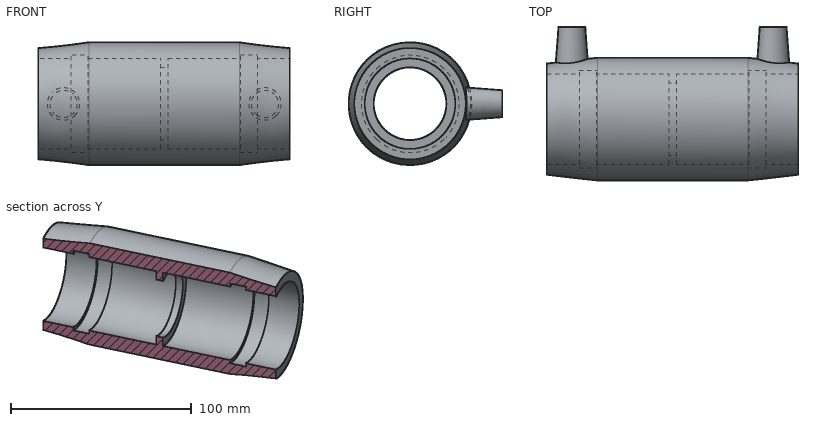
import cadquery as cq

length = 139.0
body_diameter = 68.0
end_diameter = 61.6
shoulder_length = 27.8
socket_diameter = 50.0
stop_diameter = 40.0
stop_width = 4.2

groove_diameter = 54.0
groove_start = 18.1
groove_end = 27.4

post_spacing = 111.2
post_tip_diameter = 15.0
post_base_diameter = 18.2
post_tip_y = 51.0
post_base_y = 29.9

half_length = length / 2
body_half_length = half_length - shoulder_length


def make_sleeve():
    """Outer barrel with tapered ends."""
    return (
        cq.Workplane("XY")
        .moveTo(-half_length, 0)
        .lineTo(-half_length, end_diameter / 2)
        .lineTo(-body_half_length, body_diameter / 2)
        .lineTo(body_half_length, body_diameter / 2)
        .lineTo(half_length, end_diameter / 2)
        .lineTo(half_length, 0)
        .close()
        .revolve(360, (0, 0, 0), (1, 0, 0))
    )


def make_bore():
    """Pipe socket at each end, separated by a narrow central stop."""
    socket_depth = half_length - stop_width / 2
    bore = cq.Workplane("YZ").circle(stop_diameter / 2).extrude(half_length, both=True)
    for start_x in (-half_length, stop_width / 2):
        socket = cq.Workplane("YZ", origin=(start_x, 0, 0)).circle(socket_diameter / 2).extrude(socket_depth)
        bore = bore.union(socket)
    return bore


def make_groove(start_x):
    """Ring groove cutter that opens into the socket."""
    groove_width = groove_end - groove_start
    return cq.Workplane("YZ", origin=(start_x, 0, 0)).circle(groove_diameter / 2).extrude(groove_width)


def make_post(x):
    """Solid conical post, widest where it meets the sleeve."""
    return cq.Workplane("XY").add(
        cq.Solid.makeCone(
            post_base_diameter / 2,
            post_tip_diameter / 2,
            post_tip_y - post_base_y,
            pnt=cq.Vector(x, post_base_y, 0),
            dir=cq.Vector(0, 1, 0),
        )
    )


result = make_sleeve()
for post_x in (-post_spacing / 2, post_spacing / 2):
    result = result.union(make_post(post_x))
result = result.cut(make_bore())
for groove_x in (-half_length + groove_start, half_length - groove_end):
    result = result.cut(make_groove(groove_x))